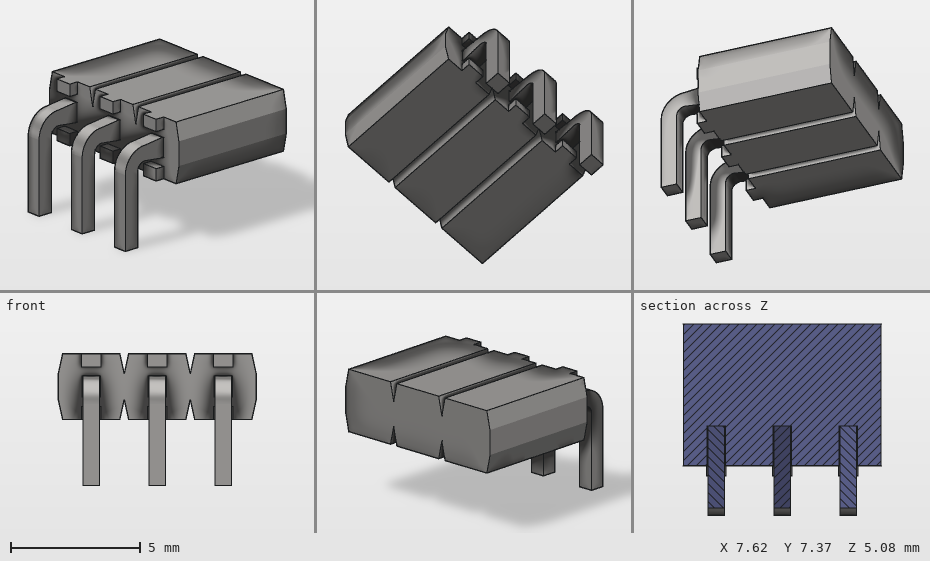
import cadquery as cq
import math


ROW_LENGTH = 7.62
CELL_COUNT = 3
PITCH = ROW_LENGTH / CELL_COUNT
CELL_CENTERS = [(i - (CELL_COUNT - 1) / 2) * PITCH for i in range(CELL_COUNT)]

HOUSING_DEPTH = 5.46
HOUSING_HEIGHT = PITCH
HOUSING_BOTTOM = PITCH
HOUSING_MID = HOUSING_BOTTOM + HOUSING_HEIGHT / 2
BEVEL_WIDTH = 0.17
BEVEL_HEIGHT = 0.76

TAB_WIDTH = 0.755
TAB_HEIGHT = HOUSING_HEIGHT / 5
TAB_DEPTH = 0.39

POCKET_WIDTH = 0.7
POCKET_HEIGHT = 0.81
POCKET_DEPTH = 1.525

PIN_SIZE = 0.64
PIN_REACH = 1.905
BEND_OUTER_RADIUS = 1.0
BEND_INNER_RADIUS = BEND_OUTER_RADIUS - PIN_SIZE
ROOT_LENGTH = PIN_REACH - BEND_OUTER_RADIUS
ROOT_HEIGHT = HOUSING_HEIGHT / 3


def make_cell(x_center):
    """Prism with a bevelled outline; neighbouring cells share their flat sides."""
    half_width = PITCH / 2
    half_height = HOUSING_HEIGHT / 2
    flat_half_width = half_width - BEVEL_WIDTH
    flat_half_height = half_height - BEVEL_HEIGHT
    outline = [
        (half_width, flat_half_height),
        (flat_half_width, half_height),
        (-flat_half_width, half_height),
        (-half_width, flat_half_height),
        (-half_width, -flat_half_height),
        (-flat_half_width, -half_height),
        (flat_half_width, -half_height),
        (half_width, -flat_half_height),
    ]
    return (
        cq.Workplane("XZ", origin=(x_center, 0, HOUSING_MID))
        .polyline(outline)
        .close()
        .extrude(-HOUSING_DEPTH)
    )


def make_tabs(x_center):
    """Upper and lower standoff tabs of one cell."""
    z_offset = (HOUSING_HEIGHT - TAB_HEIGHT) / 2
    return (
        cq.Workplane("XZ", origin=(x_center, 0, HOUSING_MID))
        .pushPoints([(0, z_offset), (0, -z_offset)])
        .rect(TAB_WIDTH, TAB_HEIGHT)
        .extrude(TAB_DEPTH)
    )


def make_pocket(x_center):
    """Blind rectangular pocket that takes the end of one pin."""
    return (
        cq.Workplane("XZ", origin=(x_center, 0, HOUSING_MID))
        .rect(POCKET_WIDTH, POCKET_HEIGHT)
        .extrude(-POCKET_DEPTH)
    )


def make_housing():
    """All cells and their tabs as one solid, with a pocket for each pin."""
    housing = make_cell(CELL_CENTERS[0])
    for x_center in CELL_CENTERS[1:]:
        housing = housing.union(make_cell(x_center))
    for x_center in CELL_CENTERS:
        housing = housing.union(make_tabs(x_center))
        housing = housing.cut(make_pocket(x_center))
    return housing.clean()


def make_pin(x_center):
    """One bent pin of constant width: pocket end, tapered root, quarter-turn bend and straight leg."""
    bend_y = -ROOT_LENGTH
    bend_z = HOUSING_MID + PIN_SIZE / 2 - BEND_OUTER_RADIUS
    leg_outer_y = bend_y - BEND_OUTER_RADIUS
    leg_inner_y = bend_y - BEND_INNER_RADIUS
    outer_mid = BEND_OUTER_RADIUS * math.sqrt(0.5)
    inner_mid = BEND_INNER_RADIUS * math.sqrt(0.5)
    return (
        cq.Workplane("YZ", origin=(x_center, 0, 0))
        .moveTo(POCKET_DEPTH, HOUSING_MID + POCKET_HEIGHT / 2)
        .lineTo(0, HOUSING_MID + POCKET_HEIGHT / 2)
        .lineTo(0, HOUSING_MID + ROOT_HEIGHT / 2)
        .lineTo(bend_y, bend_z + BEND_OUTER_RADIUS)
        .threePointArc((bend_y - outer_mid, bend_z + outer_mid), (leg_outer_y, bend_z))
        .lineTo(leg_outer_y, 0)
        .lineTo(leg_inner_y, 0)
        .lineTo(leg_inner_y, bend_z)
        .threePointArc((bend_y - inner_mid, bend_z + inner_mid), (bend_y, bend_z + BEND_INNER_RADIUS))
        .lineTo(0, HOUSING_MID - ROOT_HEIGHT / 2)
        .lineTo(0, HOUSING_MID - POCKET_HEIGHT / 2)
        .lineTo(POCKET_DEPTH, HOUSING_MID - POCKET_HEIGHT / 2)
        .close()
        .extrude(PIN_SIZE / 2, both=True)
    )


housing = make_housing()
pins = [make_pin(x_center) for x_center in CELL_CENTERS]

result = cq.Compound.makeCompound([
    housing.solids().val(),
    *[pin.solids().val() for pin in pins],
])